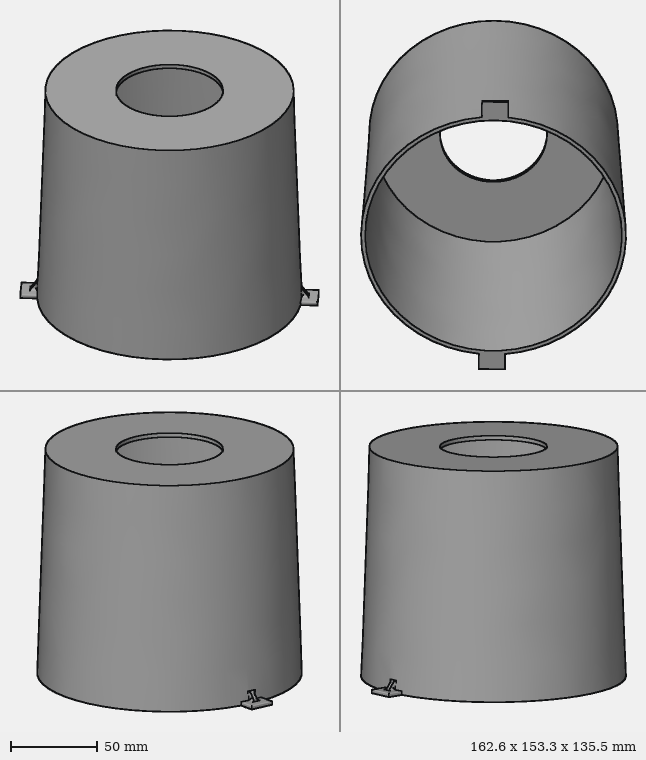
import cadquery as cq
import math

overall_length = 162.6
height = 135.5
bottom_radius = 153.3 / 2
top_radius = 143.7 / 2
wall = 2.5
lid_thickness = 2.5
lid_hole_diameter = 62.0

foot_angle = 25.0
foot_width = 15.3
foot_thickness = 2.3
foot_edge_radius = 0.7

gusset_width = 2.5
gusset_height = 7.8
gusset_reach = 4.0
gusset_fillet = 1.5

angle = math.radians(foot_angle)
foot_tip_radius = (overall_length / 2 - foot_width / 2 * math.sin(angle)) / math.cos(angle)

taper = (bottom_radius - top_radius) / height
lid_underside = height - lid_thickness
inner_end = bottom_radius - wall


def outer_radius(z):
    """Radius of the tapered outside at height z."""
    return bottom_radius - taper * z


def make_cone(radius_offset, cone_height):
    """Solid with the outside taper, moved inward by radius_offset."""
    cone = cq.Solid.makeCone(
        bottom_radius - radius_offset,
        outer_radius(cone_height) - radius_offset,
        cone_height,
    )
    return cq.Workplane(cone)


def make_foot():
    """Foot and gusset pointing along +X, started inside the cup wall."""
    plate = (
        cq.Workplane("XY")
        .box(foot_tip_radius - inner_end, foot_width, foot_thickness, centered=(False, True, False))
        .translate((inner_end, 0, 0))
        .faces(">Z")
        .edges(">X or >Y or <Y")
        .fillet(foot_edge_radius)
    )
    return plate.union(make_gusset())


def flared_rib(plane, root, tip, length):
    """Rib along the plane's normal, flared by two concave arcs at its root."""
    half_width = gusset_width / 2
    flare_end = half_width + gusset_fillet
    arc_inset = gusset_fillet * (1 - math.sqrt(0.5))
    return (
        cq.Workplane(plane)
        .moveTo(-flare_end, 0)
        .lineTo(-flare_end, root)
        .threePointArc((-half_width - arc_inset, root + arc_inset), (-half_width, root + gusset_fillet))
        .lineTo(-half_width, tip)
        .lineTo(half_width, tip)
        .lineTo(half_width, root + gusset_fillet)
        .threePointArc((half_width + arc_inset, root + arc_inset), (flare_end, root))
        .lineTo(flare_end, 0)
        .close()
        .extrude(length)
    )


def make_gusset():
    """Triangular gusset with rounded roots on the plate and on the wall."""
    gusset_tip = bottom_radius + gusset_reach
    wall_at_top = outer_radius(gusset_height)
    on_plate = flared_rib(cq.Plane.named("YZ"), foot_thickness, gusset_height, gusset_tip)
    wall_plane = cq.Plane(origin=(0, 0, 0), xDir=(0, -1, 0), normal=(0, 0, 1))
    on_wall = flared_rib(wall_plane, wall_at_top, gusset_tip, gusset_height)
    wedge = (
        cq.Workplane("XZ")
        .polyline([
            (inner_end, 0),
            (gusset_tip, 0),
            (gusset_tip, foot_thickness),
            (wall_at_top, gusset_height),
            (inner_end, gusset_height),
        ])
        .close()
        .extrude(foot_width / 2, both=True)
    )
    return on_plate.union(on_wall).intersect(wedge)


cavity = make_cone(wall, lid_underside)
lid_hole = cq.Workplane("XY").circle(lid_hole_diameter / 2).extrude(height)

result = make_cone(0, height)
foot = make_foot()
for turn in (foot_angle, foot_angle + 180):
    result = result.union(foot.rotate((0, 0, 0), (0, 0, 1), turn))
result = result.cut(cavity).cut(lid_hole)